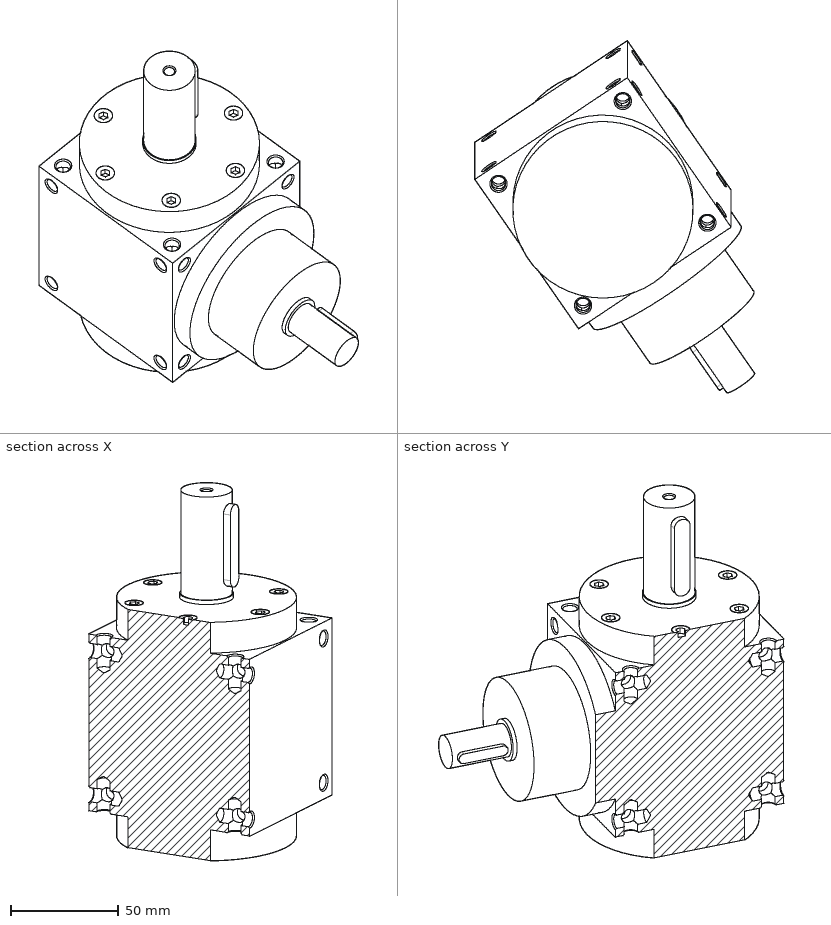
import cadquery as cq
import math


TOTAL_HEIGHT = 168.0
TOTAL_LENGTH = 157.0

BLOCK_SIZE = 86.0
COVER_DIAMETER = 84.0
COVER_HEIGHT = 15.0
SIDE_FLANGE_LENGTH = 10.0
NOSE_DIAMETER = 59.0
NOSE_LENGTH = 28.9

MOUNT_HOLE_DIAMETER = 6.7
MOUNT_HOLE_MOUTH = 8.0
MOUNT_HOLE_DEPTH = 16.0
MOUNT_HOLE_SPACING = 70.0

SCREW_COUNT = 6
SCREW_CIRCLE_DIAMETER = 70.0
SCREW_FIRST_ANGLE = 15.0
SCREW_HEAD_DIAMETER = 8.5
SCREW_HEAD_RECESS = 0.2
SOCKET_ACROSS_FLATS = 4.0
SOCKET_DEPTH = 3.0

COLLAR_LENGTH = 2.0

VERTICAL_SHAFT_DIAMETER = 24.0
VERTICAL_COLLAR_DIAMETER = 25.0
VERTICAL_KEY_WIDTH = 8.0
VERTICAL_KEY_LENGTH = 40.0
VERTICAL_KEY_PROTRUSION = 3.0
CENTRE_HOLE_DIAMETER = 4.9
CENTRE_HOLE_MOUTH = 6.0
CENTRE_HOLE_DEPTH = 12.5

HORIZONTAL_SHAFT_DIAMETER = 16.0
HORIZONTAL_COLLAR_DIAMETER = 20.0
HORIZONTAL_KEY_WIDTH = 5.0
HORIZONTAL_KEY_LENGTH = 25.0
HORIZONTAL_KEY_PROTRUSION = 2.0

DRILL_POINT_ANGLE = 118.0

HALF_BLOCK = BLOCK_SIZE / 2
TOP_COVER_FACE = HALF_BLOCK + COVER_HEIGHT
NOSE_FACE = HALF_BLOCK + SIDE_FLANGE_LENGTH + NOSE_LENGTH
VERTICAL_SHAFT_LENGTH = TOTAL_HEIGHT - BLOCK_SIZE - 2 * COVER_HEIGHT - COLLAR_LENGTH
HORIZONTAL_SHAFT_LENGTH = TOTAL_LENGTH - HALF_BLOCK - NOSE_FACE - COLLAR_LENGTH


def drilled_hole(diameter, mouth, depth):
    """Cutter for a hole down from Z = 0, with a 45 degree mouth and a drill point."""
    radius = diameter / 2
    mouth_radius = mouth / 2
    point_depth = radius / math.tan(math.radians(DRILL_POINT_ANGLE / 2))
    return (
        cq.Workplane("XZ")
        .moveTo(0, 0)
        .lineTo(mouth_radius, 0)
        .lineTo(radius, radius - mouth_radius)
        .lineTo(radius, -depth)
        .lineTo(0, -depth - point_depth)
        .close()
        .revolve(360, (0, 0, 0), (0, 1, 0))
    )


def mount_holes_on_top():
    """Four corner hole cutters in the top face of the block."""
    hole = drilled_hole(MOUNT_HOLE_DIAMETER, MOUNT_HOLE_MOUTH, MOUNT_HOLE_DEPTH).val()
    return (
        cq.Workplane("XY", origin=(0, 0, HALF_BLOCK))
        .rect(MOUNT_HOLE_SPACING, MOUNT_HOLE_SPACING, forConstruction=True)
        .vertices()
        .eachpoint(lambda place: hole.moved(place))
    )


def screw_heads():
    """Cutters for the shallow head recesses and their hexagon sockets in the top cover."""
    places = (
        cq.Workplane("XY", origin=(0, 0, TOP_COVER_FACE))
        .polarArray(SCREW_CIRCLE_DIAMETER / 2, SCREW_FIRST_ANGLE, 360, SCREW_COUNT)
    )
    socket_across_corners = SOCKET_ACROSS_FLATS / math.cos(math.radians(30))
    recesses = places.circle(SCREW_HEAD_DIAMETER / 2).extrude(-SCREW_HEAD_RECESS)
    sockets = places.polygon(6, socket_across_corners).extrude(-SOCKET_DEPTH)
    return recesses.union(sockets)


def build_housing():
    """Block with top and bottom covers, side flange, bearing nose and all holes."""
    body = cq.Workplane("XY").box(BLOCK_SIZE, BLOCK_SIZE, BLOCK_SIZE)

    covers = (
        cq.Workplane("XY")
        .circle(COVER_DIAMETER / 2)
        .extrude(TOP_COVER_FACE, both=True)
    )
    side_flange = (
        cq.Workplane("YZ")
        .circle(COVER_DIAMETER / 2)
        .extrude(HALF_BLOCK + SIDE_FLANGE_LENGTH)
    )
    nose = cq.Workplane("YZ").circle(NOSE_DIAMETER / 2).extrude(NOSE_FACE)
    body = body.union(covers).union(side_flange).union(nose)

    top_holes = mount_holes_on_top()
    for quarter_turn in range(4):
        body = body.cut(top_holes.rotate((0, 0, 0), (1, 0, 0), 90 * quarter_turn))
    for side_turn in (-90, 90):
        body = body.cut(top_holes.rotate((0, 0, 0), (0, 1, 0), side_turn))

    return body.cut(screw_heads())


def build_keyed_shaft(diameter, length, collar_diameter, key_width, key_length, key_protrusion):
    """Upright shaft on a collar standing on Z = 0, with a round-ended key on the +Y side."""
    collar = cq.Workplane("XY").circle(collar_diameter / 2).extrude(COLLAR_LENGTH)
    shaft = cq.Workplane("XY").circle(diameter / 2).extrude(COLLAR_LENGTH + length)
    key = (
        cq.Workplane("XZ", origin=(0, 0, COLLAR_LENGTH + length / 2))
        .slot2D(key_length, key_width, 90)
        .extrude(-(diameter / 2 + key_protrusion))
    )
    return shaft.union(collar).union(key)


def build_vertical_shaft():
    """Keyed shaft on the top cover, with a drilled centre hole in its end."""
    shaft = build_keyed_shaft(
        VERTICAL_SHAFT_DIAMETER,
        VERTICAL_SHAFT_LENGTH,
        VERTICAL_COLLAR_DIAMETER,
        VERTICAL_KEY_WIDTH,
        VERTICAL_KEY_LENGTH,
        VERTICAL_KEY_PROTRUSION,
    )
    centre_hole = drilled_hole(CENTRE_HOLE_DIAMETER, CENTRE_HOLE_MOUTH, CENTRE_HOLE_DEPTH)
    shaft_end = COLLAR_LENGTH + VERTICAL_SHAFT_LENGTH
    shaft = shaft.cut(centre_hole.translate((0, 0, shaft_end)))
    return shaft.translate((0, 0, TOP_COVER_FACE))


def build_horizontal_shaft():
    """Keyed shaft on the bearing nose, pointing along +X."""
    shaft = build_keyed_shaft(
        HORIZONTAL_SHAFT_DIAMETER,
        HORIZONTAL_SHAFT_LENGTH,
        HORIZONTAL_COLLAR_DIAMETER,
        HORIZONTAL_KEY_WIDTH,
        HORIZONTAL_KEY_LENGTH,
        HORIZONTAL_KEY_PROTRUSION,
    )
    return shaft.rotate((0, 0, 0), (0, 1, 0), 90).translate((NOSE_FACE, 0, 0))


housing = build_housing()
vertical_shaft = build_vertical_shaft()
horizontal_shaft = build_horizontal_shaft()

result = cq.Compound.makeCompound(
    [
        housing.val(),
        vertical_shaft.val(),
        horizontal_shaft.val(),
    ]
)